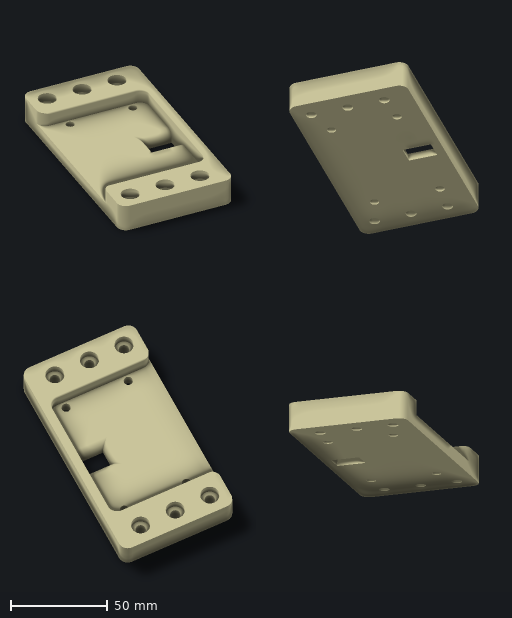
import cadquery as cq

LENGTH = 120.0
WIDTH = 65.0
HEIGHT = 15.0
CORNER_RADIUS = 5.0

POCKET_WIDTH = 74.8
POCKET_BACK_Y = 27.5
FLOOR_Z = 7.0
POCKET_CORNER_RADIUS = 5.0
MOUTH_RADIUS = 5.0
RIM_RADIUS = 1.0

WINDOW_WIDTH = 10.0
WINDOW_FRONT_Y = 12.0
WINDOW_LIP_RADIUS = 5.0

MOUNT_X = 50.0
MOUNT_MIDDLE_Y = -2.5
MOUNT_PITCH = 20.0
MOUNT_DIAMETER = 5.5
COUNTERBORE_DIAMETER = 10.0
COUNTERBORE_DEPTH = 5.0

FLOOR_HOLE_X = 34.0
FLOOR_HOLE_BACK_Y = 19.0
FLOOR_HOLE_FRONT_Y = -17.0
FLOOR_HOLE_DIAMETER = 4.8

FRONT_Y = -WIDTH / 2
POCKET_HALF = POCKET_WIDTH / 2


def make_plate():
    plate = cq.Workplane("XY").box(LENGTH, WIDTH, HEIGHT, centered=(True, True, False))
    return plate.edges("|Z").fillet(CORNER_RADIUS)


def cut_pocket(body):
    """Cut the three-walled pocket and round the top edge of its walls."""
    pocket = (
        cq.Workplane("XY", origin=(0, FRONT_Y, FLOOR_Z))
        .rect(POCKET_WIDTH, 2 * (POCKET_BACK_Y - FRONT_Y))
        .extrude(HEIGHT - FLOOR_Z)
        .edges("|Z and >Y")
        .fillet(POCKET_CORNER_RADIUS)
    )
    body = body.cut(pocket)
    back_rim = cq.selectors.NearestToPointSelector((0, POCKET_BACK_Y, HEIGHT))
    return body.edges(back_rim).fillet(RIM_RADIUS)


def round_mouth(body):
    """Round the upright corners where the pocket walls meet the front face."""
    for side in (-1, 1):
        wall_x = side * POCKET_HALF
        center_x = side * (POCKET_HALF + MOUTH_RADIUS)
        center_y = FRONT_Y + MOUTH_RADIUS
        block = (
            cq.Workplane("XY", origin=(0, 0, FLOOR_Z))
            .moveTo(wall_x, FRONT_Y)
            .lineTo(center_x, FRONT_Y)
            .lineTo(center_x, center_y)
            .lineTo(wall_x, center_y)
            .close()
            .extrude(HEIGHT - FLOOR_Z)
        )
        round_post = (
            cq.Workplane("XY", origin=(center_x, center_y, FLOOR_Z))
            .circle(MOUTH_RADIUS)
            .extrude(HEIGHT - FLOOR_Z)
        )
        body = body.cut(block.cut(round_post))
    return body


def cut_window(body):
    """Cut the window and round its three free edges down from the floor."""
    window_length = POCKET_BACK_Y - WINDOW_FRONT_Y
    middle_y = WINDOW_FRONT_Y + window_length / 2
    window = (
        cq.Workplane("XY", origin=(0, middle_y, 0))
        .rect(WINDOW_WIDTH, window_length)
        .extrude(FLOOR_Z)
    )
    body = body.cut(window)
    lip_points = [
        (-WINDOW_WIDTH / 2, middle_y, FLOOR_Z),
        (0, WINDOW_FRONT_Y, FLOOR_Z),
        (WINDOW_WIDTH / 2, middle_y, FLOOR_Z),
    ]
    lips = [body.edges(cq.selectors.NearestToPointSelector(point)).val() for point in lip_points]
    return body.newObject([body.val().fillet(WINDOW_LIP_RADIUS, lips)])


def drill_mount_holes(body):
    points = [
        (side * MOUNT_X, MOUNT_MIDDLE_Y + row * MOUNT_PITCH)
        for side in (-1, 1)
        for row in (-1, 0, 1)
    ]
    return (
        body.copyWorkplane(cq.Workplane("XY", origin=(0, 0, HEIGHT)))
        .pushPoints(points)
        .cboreHole(MOUNT_DIAMETER, COUNTERBORE_DIAMETER, COUNTERBORE_DEPTH)
    )


def drill_floor_holes(body):
    points = [(side * FLOOR_HOLE_X, y) for side in (-1, 1) for y in (FLOOR_HOLE_FRONT_Y, FLOOR_HOLE_BACK_Y)]
    return (
        body.copyWorkplane(cq.Workplane("XY", origin=(0, 0, FLOOR_Z)))
        .pushPoints(points)
        .hole(FLOOR_HOLE_DIAMETER)
    )


plate = make_plate()
plate = cut_pocket(plate)
plate = round_mouth(plate)
plate = cut_window(plate)
plate = drill_mount_holes(plate)
result = drill_floor_holes(plate)